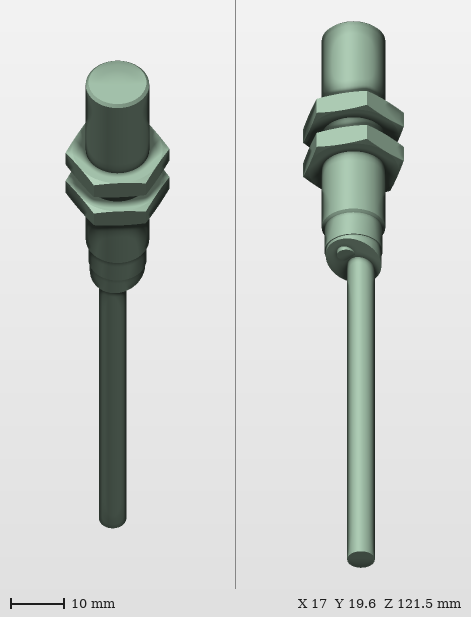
import cadquery as cq
import math

total_length = 121.5

barrel_diameter = 12.0
barrel_length = 45.0
barrel_end_diameter = 10.92
barrel_chamfer = (barrel_diameter - barrel_end_diameter) / 2

collar_diameter = 11.0
collar_bottom_depth = 50.0
nose_diameter = 10.5
nose_tip_depth = 54.0
slant_angle = 18.0

outlet_offset = 2.0
cable_diameter = 5.2
lamp_diameter = 3.42
lamp_tip_depth = 52.0

nut_across_flats = 17.0
nut_thickness = 4.0
nut_top_depths = (19.0, 27.0)
nut_chamfer_angle = 15.0
hex_sides = 6
hex_half_angle = 180 / hex_sides


def rod(diameter, top_depth, bottom_depth, y=0.0):
    """Vertical cylinder between two depths below the sensing face."""
    return (
        cq.Workplane("XY", origin=(0, y, -bottom_depth))
        .circle(diameter / 2)
        .extrude(bottom_depth - top_depth)
    )


def make_nose():
    """Cylinder whose lower end is a plane, deepest at the -Y side."""
    radius = nose_diameter / 2
    slant_rise = nose_diameter * math.tan(math.radians(slant_angle))
    side_profile = (
        cq.Workplane("YZ", origin=(-radius, 0, 0))
        .moveTo(-radius, -collar_bottom_depth)
        .lineTo(-radius, -nose_tip_depth)
        .lineTo(radius, -nose_tip_depth + slant_rise)
        .lineTo(radius, -collar_bottom_depth)
        .close()
        .extrude(nose_diameter)
    )
    return rod(nose_diameter, collar_bottom_depth, nose_tip_depth).intersect(side_profile)


def make_sensor():
    """Barrel, end cap, lamp and cable as one solid."""
    barrel = rod(barrel_diameter, 0, barrel_length).edges().chamfer(barrel_chamfer)
    collar = rod(collar_diameter, barrel_length - barrel_chamfer, collar_bottom_depth)
    lamp = rod(lamp_diameter, collar_bottom_depth, lamp_tip_depth, outlet_offset)
    cable = rod(cable_diameter, collar_bottom_depth, total_length, -outlet_offset)
    return barrel.union(collar).union(make_nose()).union(lamp).union(cable)


def make_nut(top_depth):
    """Hexagon nut with flats facing +X and -X and its corners chamfered on both faces."""
    corner_diameter = nut_across_flats / math.cos(math.radians(hex_half_angle))
    corner_radius = corner_diameter / 2
    face_radius = nut_across_flats / 2
    chamfer_height = (corner_radius - face_radius) * math.tan(math.radians(nut_chamfer_angle))
    hexagon = (
        cq.Workplane("XY")
        .polygon(hex_sides, corner_diameter)
        .extrude(nut_thickness)
        .rotate((0, 0, 0), (0, 0, 1), hex_half_angle)
    )
    chamfer_envelope = (
        cq.Workplane("XZ")
        .moveTo(0, 0)
        .lineTo(face_radius, 0)
        .lineTo(corner_radius, chamfer_height)
        .lineTo(corner_radius, nut_thickness - chamfer_height)
        .lineTo(face_radius, nut_thickness)
        .lineTo(0, nut_thickness)
        .close()
        .revolve(360, (0, 0, 0), (0, 1, 0))
    )
    bore = cq.Workplane("XY").circle(barrel_diameter / 2).extrude(nut_thickness)
    nut = hexagon.intersect(chamfer_envelope).cut(bore)
    return nut.translate((0, 0, -top_depth - nut_thickness))


sensor = make_sensor()
nuts = [make_nut(depth) for depth in nut_top_depths]

result = cq.Compound.makeCompound([sensor.val(), *[nut.val() for nut in nuts]])